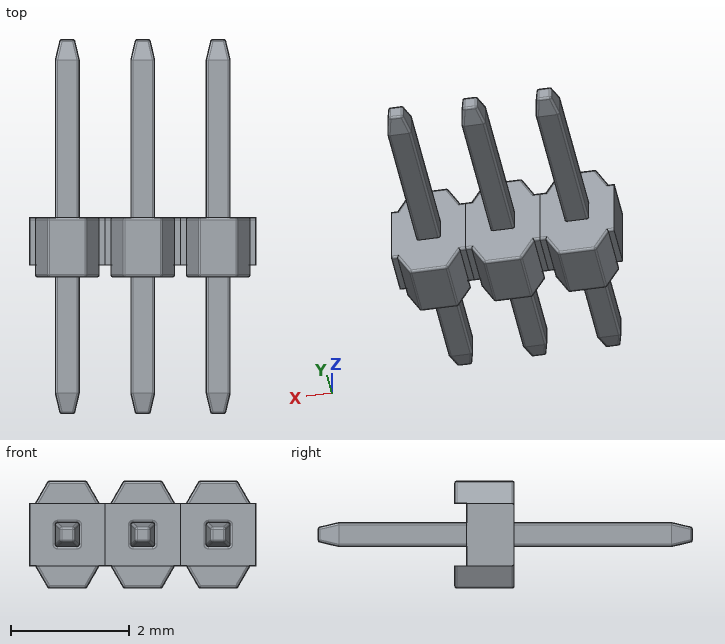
import cadquery as cq
import math

POSITIONS = 3
ROW_WIDTH = 3.81
PITCH = ROW_WIDTH / POSITIONS
EDGE_RADIUS = 0.04

PIN_LENGTH = 6.3
PIN_SIZE = 0.405
PIN_TIP_SIZE = 0.24
PIN_TAPER_LENGTH = 0.345

HOUSING_HEIGHT = 1.8
HOUSING_BACK_Y = 0.15
CORE_HEIGHT = 1.05
CORE_DEPTH = 0.8
CORE_FRONT_Y = HOUSING_BACK_Y - CORE_DEPTH
RIDGE_DEPTH = 1.0
RIDGE_BASE_WIDTH = 1.07
RIDGE_FLANK_ANGLE = 60.0
RIDGE_HEIGHT = (HOUSING_HEIGHT - CORE_HEIGHT) / 2
RIDGE_TOP_WIDTH = RIDGE_BASE_WIDTH - 2 * RIDGE_HEIGHT / math.tan(math.radians(RIDGE_FLANK_ANGLE))


def pin_profile(plane):
    """Pin outline, tapered at both ends, extruded to the full pin thickness."""
    tip_y = PIN_LENGTH / 2
    shank_y = tip_y - PIN_TAPER_LENGTH
    half_shank = PIN_SIZE / 2
    half_tip = PIN_TIP_SIZE / 2
    right_side = [
        (half_tip, -tip_y),
        (half_shank, -shank_y),
        (half_shank, shank_y),
        (half_tip, tip_y),
    ]
    left_side = [(-x, y) for x, y in reversed(right_side)]
    return cq.Workplane(plane).polyline(right_side + left_side).close().extrude(half_shank, both=True)


def make_pin():
    """Square pin that tapers on all four sides, with rounded long edges and tip rims."""
    flat_profile = pin_profile("XY")
    upright_profile = pin_profile("ZY")
    pin = flat_profile.intersect(upright_profile)
    return pin.edges("(not #Y) or <Y or >Y").fillet(EDGE_RADIUS)


def make_ridge(side):
    """Trapezoidal ridge on the top (side = 1) or bottom (side = -1) of the core."""
    base_z = side * CORE_HEIGHT / 2
    crest_z = side * HOUSING_HEIGHT / 2
    return (
        cq.Workplane("XZ", origin=(0, HOUSING_BACK_Y, 0))
        .moveTo(-RIDGE_BASE_WIDTH / 2, base_z)
        .lineTo(RIDGE_BASE_WIDTH / 2, base_z)
        .lineTo(RIDGE_TOP_WIDTH / 2, crest_z)
        .lineTo(-RIDGE_TOP_WIDTH / 2, crest_z)
        .close()
        .extrude(RIDGE_DEPTH)
    )


def make_housing_block():
    """Core and both ridges, flush at the back, with the ridges overhanging the core at the front."""
    core = cq.Workplane("XZ", origin=(0, HOUSING_BACK_Y, 0)).rect(PITCH, CORE_HEIGHT).extrude(CORE_DEPTH)
    block = core.union(make_ridge(1)).union(make_ridge(-1))
    rounded_edges = "<Z or >Z or (>Y and (not |Z)) or (<Y and (not |X))"
    return block.edges(rounded_edges).fillet(EDGE_RADIUS)


def make_pin_bore():
    """Through bore that matches the rounded square section of the pin shank."""
    return (
        cq.Workplane("XZ", origin=(0, HOUSING_BACK_Y, 0))
        .rect(PIN_SIZE, PIN_SIZE)
        .extrude(CORE_DEPTH)
        .edges("|Y")
        .fillet(EDGE_RADIUS)
    )


def make_housing():
    """Housing segment bored for one pin, with a rounded bore mouth at the front."""
    housing = make_housing_block().cut(make_pin_bore())
    mouth_edges = cq.selectors.BoxSelector(
        (-PIN_SIZE, CORE_FRONT_Y - EDGE_RADIUS, -PIN_SIZE),
        (PIN_SIZE, CORE_FRONT_Y + EDGE_RADIUS, PIN_SIZE),
    )
    return housing.edges(mouth_edges).fillet(EDGE_RADIUS)


pins = []
housings = []
for position in range(POSITIONS):
    x = (position - (POSITIONS - 1) / 2) * PITCH
    pins.append(make_pin().translate((x, 0, 0)).solids().val())
    housings.append(make_housing().translate((x, 0, 0)).solids().val())

result = cq.Compound.makeCompound([*pins, *housings])